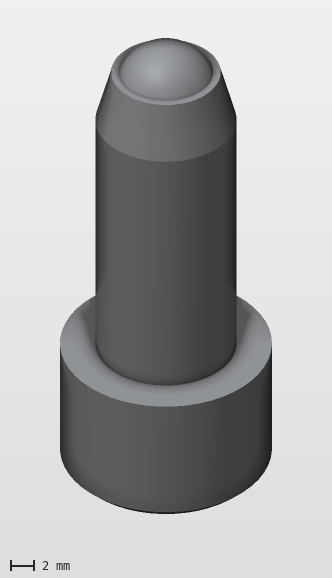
import cadquery as cq
import math

total_height = 43.25
head_diameter = 18.0
head_height = 12.0
head_chamfer = 0.8
shank_diameter = 12.0
taper_height = 5.0
taper_angle = 15.0
ball_protrusion = 2.5
ball_rim_diameter = 8.0

head_radius = head_diameter / 2
shank_radius = shank_diameter / 2
nose_radius = shank_radius - taper_height * math.tan(math.radians(taper_angle))
ball_rim_radius = ball_rim_diameter / 2
nose_z = total_height - ball_protrusion
taper_z = nose_z - taper_height

ball_radius = (ball_rim_radius**2 + ball_protrusion**2) / (2 * ball_protrusion)
ball_center_z = total_height - ball_radius

body = (
    cq.Workplane("XZ")
    .lineTo(head_radius - head_chamfer, 0)
    .lineTo(head_radius, head_chamfer)
    .lineTo(head_radius, head_height)
    .lineTo(shank_radius, head_height)
    .lineTo(shank_radius, taper_z)
    .lineTo(nose_radius, nose_z)
    .lineTo(0, nose_z)
    .close()
    .revolve(360, (0, 0, 0), (0, 1, 0))
)

ball = cq.Workplane("XY").sphere(ball_radius).translate((0, 0, ball_center_z))

result = body.union(ball)